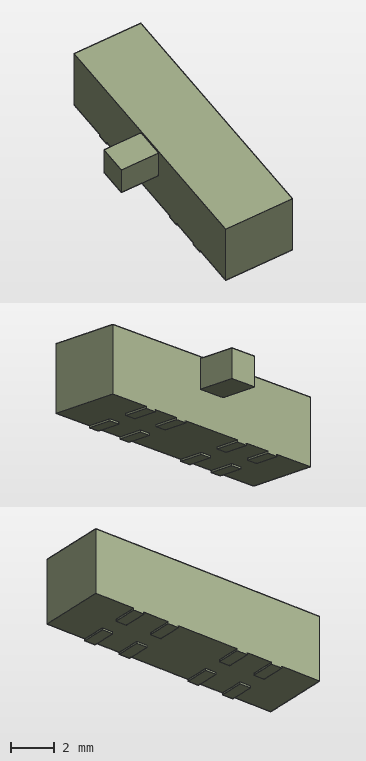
import cadquery as cq

body_length = 13.0
body_depth = 3.6
body_height = 3.4

lever_side = 1.5
lever_reach = 2.0
lever_top_gap = 0.1

pad_width = 0.6
pad_length = 1.3
pad_thickness = 0.1
pad_centres_x = (-4.0, -2.0, 2.0, 4.0)

body_top = pad_thickness + body_height
front_y = -body_depth / 2
pad_row_y = (body_depth - pad_length) / 2


def block(size_x, size_y, size_z, centre_x, centre_y, bottom_z):
    """Box centred in X and Y that stands on bottom_z."""
    box = cq.Workplane("XY").box(size_x, size_y, size_z, centered=(True, True, False))
    return box.translate((centre_x, centre_y, bottom_z))


def make_body():
    return block(body_length, body_depth, body_height, 0, 0, pad_thickness)


def make_lever():
    lever_bottom = body_top - lever_top_gap - lever_side
    lever_centre_y = front_y - lever_reach / 2
    return block(lever_side, lever_reach, lever_side, 0, lever_centre_y, lever_bottom)


def add_pads(part):
    for centre_x in pad_centres_x:
        for centre_y in (-pad_row_y, pad_row_y):
            part = part.union(block(pad_width, pad_length, pad_thickness, centre_x, centre_y, 0))
    return part


result = add_pads(make_body().union(make_lever()))